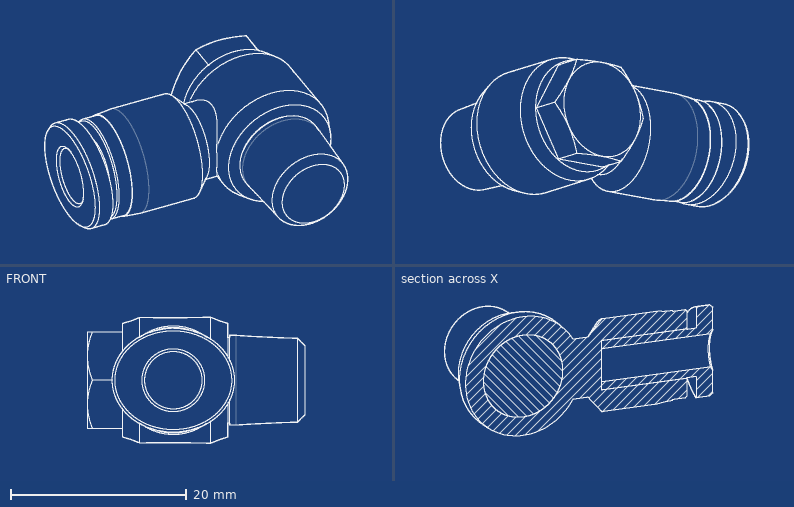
import cadquery as cq
import math


ring_dia = 14.4
ring_draft_dia = 14.35
ring_end_dia = 13.0
ring_width = 12.05
ring_centre_x = 0.22
ring_taper_length = 1.97
ring_start_x = ring_centre_x - ring_width / 2
ring_end_x = ring_centre_x + ring_width / 2

neck_dia = 9.0
neck_end = 8.07
socket_dia = 12.4
cone_end = neck_end + (socket_dia - neck_dia) / 2
straight_end = 16.57
taper_end = 18.57
taper_end_dia = 12.07
lip_dia = 11.9
socket_end = 20.4
lip_chamfer = 0.2

head_across_flats = 11.05
head_start_x = -9.83
head_face_dia = 11.03
head_chamfer_length = 0.6
shank_dia = 9.8
collar_dia = 10.3
collar_start_x = ring_end_x + 0.2
collar_length = 0.7
total_length_x = 24.9
stud_end_x = head_start_x + total_length_x
stud_taper_end_dia = 9.6
stud_tip_dia = 7.9
stud_tip_length = (stud_taper_end_dia - stud_tip_dia) / 2

sleeve_dia = 7.9
sleeve_bore_dia = 6.55
bore_chamfer = 0.3
flange_width = 13.98
flange_height = lip_dia
flange_start = 21.5
total_length_y = 30.8
flange_end = total_length_y - ring_dia / 2
flange_chamfer_depth = 0.3
flange_chamfer_length = 0.4


def revolve_x(profile):
    """Revolve closed (x, radius) points about the X axis."""
    return cq.Workplane("XY").polyline(profile).close().revolve(360, (0, 0, 0), (1, 0, 0))


def revolve_socket(profile):
    """Revolve closed (radius, distance) points about the socket axis, with distance along -Y."""
    points = [(radius, -distance) for radius, distance in profile]
    return cq.Workplane("XY").polyline(points).close().revolve(360, (0, 0, 0), (0, 1, 0))


def socket_cylinder(diameter, start, end):
    """Cylinder on the socket axis between two distances from the bolt axis."""
    return revolve_socket([(0, start), (diameter / 2, start), (diameter / 2, end), (0, end)])


def make_housing():
    """Banjo ring and tube socket, with a bolt hole and a blind recess for the sleeve."""
    ring = revolve_x([
        (ring_start_x, 0),
        (ring_start_x, ring_end_dia / 2),
        (ring_start_x + ring_taper_length, ring_draft_dia / 2),
        (ring_end_x - ring_taper_length, ring_dia / 2),
        (ring_end_x, ring_end_dia / 2),
        (ring_end_x, 0),
    ])
    socket = revolve_socket([
        (0, 0),
        (neck_dia / 2, 0),
        (neck_dia / 2, neck_end),
        (socket_dia / 2, cone_end),
        (socket_dia / 2, straight_end),
        (taper_end_dia / 2, taper_end),
        (lip_dia / 2, taper_end),
        (lip_dia / 2, socket_end - lip_chamfer),
        (lip_dia / 2 - lip_chamfer, socket_end),
        (0, socket_end),
    ])
    bolt_hole = cq.Workplane("YZ", origin=(ring_start_x, 0, 0)).circle(shank_dia / 2).extrude(ring_width)
    sleeve_recess = socket_cylinder(sleeve_dia, cone_end, socket_end)
    return ring.union(socket).cut(bolt_hole).cut(sleeve_recess)


def make_bolt():
    """Hexagonal head with a turned outer face, a plain shank and a tapered stud."""
    corner_dia = head_across_flats / math.cos(math.pi / 6)
    head_length = ring_start_x - head_start_x
    hexagon = cq.Workplane("YZ", origin=(head_start_x, 0, 0)).polygon(6, corner_dia).extrude(head_length)
    turned_envelope = revolve_x([
        (head_start_x, 0),
        (head_start_x, head_face_dia / 2),
        (head_start_x + head_chamfer_length, corner_dia / 2),
        (ring_start_x, corner_dia / 2),
        (ring_start_x, 0),
    ])
    stud = revolve_x([
        (ring_start_x, 0),
        (ring_start_x, shank_dia / 2),
        (collar_start_x, shank_dia / 2),
        (collar_start_x, collar_dia / 2),
        (collar_start_x + collar_length, collar_dia / 2),
        (stud_end_x - stud_tip_length, stud_taper_end_dia / 2),
        (stud_end_x, stud_tip_dia / 2),
        (stud_end_x, 0),
    ])
    return hexagon.intersect(turned_envelope).union(stud)


def make_sleeve():
    """Release sleeve: a tube with an oval push flange and a chamfered bore mouth."""
    tube = socket_cylinder(sleeve_dia, cone_end, flange_start)
    flange = (
        cq.Workplane("XZ", origin=(0, -flange_start, 0))
        .ellipse(flange_width / 2, flange_height / 2)
        .extrude(flange_end - flange_start)
        .faces("<Y")
        .chamfer(flange_chamfer_length, flange_chamfer_depth)
    )
    bore_radius = sleeve_bore_dia / 2
    bore = revolve_socket([
        (0, cone_end),
        (bore_radius, cone_end),
        (bore_radius, flange_end - bore_chamfer),
        (bore_radius + bore_chamfer, flange_end),
        (0, flange_end),
    ])
    return tube.union(flange).cut(bore)


housing = make_housing()
bolt = make_bolt()
sleeve = make_sleeve()

result = cq.Compound.makeCompound([housing.val(), bolt.val(), sleeve.val()])